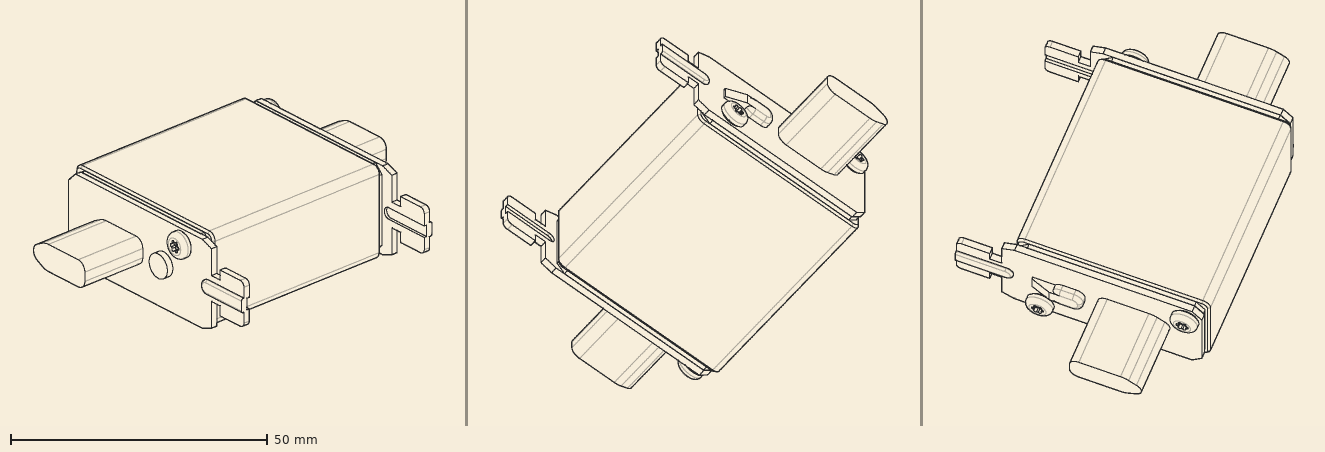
import cadquery as cq
import math


body_width = 40.55
body_height = 20.5
body_corner_radius = 1.65
body_half_length = 21.9
body_end_chamfer = 0.5

spacer_thickness = 0.95
plate_thickness = 1.4
spacer_face = body_half_length + spacer_thickness
plate_face = spacer_face + plate_thickness
plate_left = 0.7
plate_half_height = 9.8
plate_corner = 2.05
spacer_left = 0.95
spacer_right = 39.8
spacer_half_height = 9.7
spacer_corner = 1.9

taper_start = 40.0
plate_right = 42.7
taper_half_height = 8.75
neck_half_height = 2.8
lug_left = 45.2
lug_right = 52.2
lug_half_height = 5.05
lug_corner_radius = 1.1

bead_left = 40.2
bead_half_width = 1.6
bead_height = 0.6
bead_edge_radius = 0.5
bead_wall = 0.3

blade_end = 39.4
blade_half_thickness = 3.0
blade_tip = 5.05
blade_right = 22.5
blade_flank_angle = 27.0
blade_nose_radius = 2.0
blade_shoulder_radius = 3.8
blade_heel_radius = 2.0

screw_left = 4.0
screw_right = 34.3
screw_offset = 6.7
collar_radius = 2.4
collar_height = 0.4
head_radius = 2.8
head_height = 1.8
head_edge_radius = 1.0
socket_radius = 0.95
lobe_radius = 0.3
lobe_count = 6
socket_depth = 0.95
pit_radius = 0.6
pit_depth = 0.4

button_x = 28.7
button_radius = 2.7
button_height = 1.4

indicator_left = 25.2
indicator_right = 31.7
indicator_half_width = 2.4
indicator_height = 2.0
indicator_corner_radius = 1.9
indicator_edge_radius = 0.9
ramp_half_width = indicator_half_width - indicator_edge_radius
ramp_top_end = 32.0
ramp_right = 36.2
ramp_end_height = 0.4


def section(y):
    """Workplane facing -Y at the given Y, drawn in X and Z."""
    return cq.Workplane("XZ", origin=(0, y, 0))


def outward_section(y, side):
    """Workplane at the given Y facing away from the body on that side."""
    plane = cq.Plane(origin=(0, y, 0), xDir=(1, 0, 0), normal=(0, side, 0))
    return cq.Workplane(plane)


def outer_face(side):
    """Selector for the face farthest from the body on that side."""
    return ">Y" if side > 0 else "<Y"


def make_body():
    return (
        section(body_half_length)
        .center(body_width / 2, 0)
        .rect(body_width, body_height)
        .extrude(2 * body_half_length)
        .edges("|Y").fillet(body_corner_radius)
        .faces("<Y or >Y").chamfer(body_end_chamfer)
    )


def make_spacer(side):
    spacer_width = spacer_right - spacer_left
    return (
        outward_section(side * body_half_length, side)
        .center(spacer_left + spacer_width / 2, 0)
        .rect(spacer_width, 2 * spacer_half_height)
        .extrude(spacer_thickness)
        .edges("|Y").chamfer(spacer_corner)
    )


def bead_outline(plane, half_width):
    """Slot with a round inner end, open through the outer edge of the lug."""
    round_center = bead_left + bead_half_width
    return (
        plane
        .moveTo(lug_right, half_width)
        .lineTo(round_center, half_width)
        .threePointArc((round_center - half_width, 0), (round_center, -half_width))
        .lineTo(lug_right, -half_width)
        .close()
    )


def make_plate(side):
    upper = [
        (plate_left, plate_half_height - plate_corner),
        (plate_left + plate_corner, plate_half_height),
        (taper_start, plate_half_height),
        (plate_right, taper_half_height),
        (plate_right, neck_half_height),
        (lug_left, neck_half_height),
        (lug_left, lug_half_height),
        (lug_right, lug_half_height),
    ]
    lower = [(x, -z) for x, z in reversed(upper)]
    plate = (
        outward_section(side * spacer_face, side)
        .polyline(upper + lower).close()
        .extrude(plate_thickness)
        .edges("|Y and >X").fillet(lug_corner_radius)
    )
    bead = bead_outline(outward_section(side * plate_face, side), bead_half_width).extrude(bead_height)
    bead = bead.faces(outer_face(side)).edges("not >X").fillet(bead_edge_radius)
    groove = bead_outline(outward_section(side * spacer_face, side), bead_half_width - bead_wall)
    return plate.union(bead).cut(groove.extrude(bead_height))


def make_blades():
    """Both blades as one bar running through the body."""
    shoulder_x = blade_tip + blade_half_thickness / math.tan(math.radians(blade_flank_angle))
    return (
        section(blade_end)
        .moveTo(blade_tip, 0)
        .lineTo(shoulder_x, blade_half_thickness)
        .lineTo(blade_right, blade_half_thickness)
        .lineTo(blade_right, -blade_half_thickness)
        .lineTo(shoulder_x, -blade_half_thickness)
        .close()
        .extrude(2 * blade_end)
        .edges("|Y exc (<X or >X)").fillet(blade_shoulder_radius)
        .edges("|Y and <X").fillet(blade_nose_radius)
        .edges("|Y and >X").fillet(blade_heel_radius)
    )


def make_screw(x, z, side):
    """Pan-head screw on a narrower collar, its six-lobed socket ending in a conical pit."""
    head_base = plate_face + collar_height
    head_top = head_base + head_height
    collar = outward_section(side * plate_face, side).circle(collar_radius).extrude(collar_height)
    head = outward_section(side * head_base, side).circle(head_radius).extrude(head_height)
    head = head.faces(outer_face(side)).edges().fillet(head_edge_radius)
    socket_plane = outward_section(side * head_top, side)
    socket = socket_plane.circle(socket_radius).extrude(-socket_depth)
    lobes = (
        socket_plane
        .polarArray(socket_radius, 0, 360, lobe_count)
        .circle(lobe_radius)
        .extrude(-socket_depth)
    )
    pit = cq.Workplane(obj=cq.Solid.makeCone(
        pit_radius, 0, pit_depth,
        pnt=cq.Vector(0, side * (head_top - socket_depth), 0),
        dir=cq.Vector(0, -side, 0),
    ))
    return collar.union(head).cut(socket).cut(lobes).cut(pit).translate((x, 0, z))


def make_button():
    return outward_section(-plate_face, -1).center(button_x, 0).circle(button_radius).extrude(button_height)


def make_indicator():
    """Rounded block with a ramp falling away toward the right-hand screw."""
    block_width = indicator_right - indicator_left
    block = (
        outward_section(plate_face, 1)
        .center(indicator_left + block_width / 2, 0)
        .rect(block_width, 2 * indicator_half_width)
        .extrude(indicator_height)
        .edges("|Y").fillet(indicator_corner_radius)
        .faces(">Y").edges().fillet(indicator_edge_radius)
    )
    ramp_left = indicator_right - indicator_corner_radius
    ramp = (
        cq.Workplane("XY")
        .moveTo(ramp_left, plate_face)
        .lineTo(ramp_left, plate_face + indicator_height)
        .lineTo(ramp_top_end, plate_face + indicator_height)
        .lineTo(ramp_right, plate_face + ramp_end_height)
        .lineTo(ramp_right, plate_face)
        .close()
        .extrude(ramp_half_width, both=True)
    )
    return block.union(ramp)


result = make_body().union(make_blades())
for side in (-1, 1):
    result = result.union(make_spacer(side)).union(make_plate(side))
    result = result.union(make_screw(screw_left, side * screw_offset, side))
    result = result.union(make_screw(screw_right, -side * screw_offset, side))
result = result.union(make_button()).union(make_indicator())